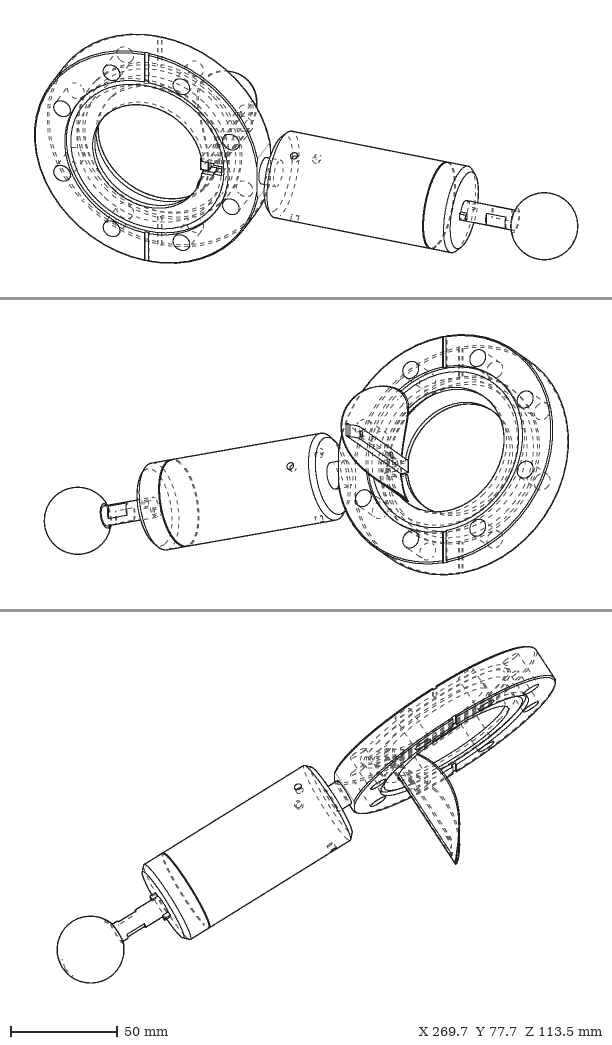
import cadquery as cq
import math


flange_radius = 56.77
flange_thickness = 17.8
flange_edge_chamfer = 0.7
flange_flat_x = 55.7
half_thickness = flange_thickness / 2

recess_radius = 41.2
recess_depth = 1.2
knife_radius = 38.6
knife_height = 0.9

lip_bore_radius = 27.6
lip_end_y = -5.0
cavity_radius = 36.5
cavity_end_y = 4.8
rear_bore_radius = 30.8

bolt_count = 8
bolt_circle_radius = 46.05
bolt_hole_diameter = 8.4
leak_groove_width = 2.0
leak_groove_depth = 1.0

notch_wide_width = 6.4
notch_wide_end_x = 33.3
notch_narrow_width = 4.8
notch_narrow_end_x = 37.4

shutter_disc_radius = 31.3
shutter_center_y = 25.6
shutter_outer_radius = 30.2
shutter_wall = 0.4
shutter_inner_radius = shutter_outer_radius - shutter_wall
outline_points = 24

strap_width = 6.0
strap_face_x = 25.8
strap_start_y = -5.0
strap_step_y = 46.3
strap_ramp_end_y = 50.2
strap_end_y = 52.4
strap_tip_thickness = 1.2
strap_ramp_sag = 0.5
strap_hole_diameter = 2.8
strap_hole_depth = 1.0
strap_hole_ys = (12.6, 44.3)
spindle_diameter = 6.0

neck_diameter = 12.7
body_radius = 20.76
body_start_x = 63.0
body_joint_x = 143.8
body_end_x = 156.8
body_chamfer = 2.4
joint_groove_width = 0.4
joint_groove_depth = 0.3

set_screw_count = 3
set_screw_x = 75.0
set_screw_diameter = 3.4
set_screw_depth = 3.0

rod_diameter = 9.6
tab_length = 3.2
tab_span = 12.9
tab_width = 3.2
wrench_flat_start_x = 169.4
wrench_flat_end_x = 179.2
wrench_flat_thickness = 7.3

overall_length = 269.69
ball_radius = 15.8
ball_center_x = overall_length - flange_radius - ball_radius
ball_flat_offset = 14.7
ball_flat_x = ball_center_x - ball_flat_offset


def block(x_range, y_range, z_range):
    """Axis-aligned box given by its limits."""
    sizes = [high - low for low, high in (x_range, y_range, z_range)]
    lows = (x_range[0], y_range[0], z_range[0])
    return cq.Workplane("XY").box(*sizes, centered=False).translate(lows)


def rod_along_x(radius, start_x, end_x):
    return cq.Workplane("YZ").workplane(offset=start_x).circle(radius).extrude(end_x - start_x)


def rod_along_y(radius, start_y, end_y):
    return cq.Workplane("XZ").workplane(offset=-end_y).circle(radius).extrude(end_y - start_y)


def sealing_recess():
    """Round cut in the front face; its floor falls away from the knife edge to the wall."""
    knife_y = -half_thickness + recess_depth
    profile = [
        (0, -half_thickness),
        (recess_radius, -half_thickness),
        (recess_radius, knife_y + knife_height),
        (knife_radius, knife_y),
        (0, knife_y),
    ]
    return cq.Workplane("XY").polyline(profile).close().revolve(360, (0, 0, 0), (0, 1, 0))


def leak_groove():
    """Vertical groove in the front face, from the recess out to the rim on both sides."""
    half_width = leak_groove_width / 2
    return block(
        (-half_width, half_width),
        (-half_thickness, -half_thickness + leak_groove_depth),
        (-flange_radius, flange_radius),
    ).cut(rod_along_y(recess_radius, -half_thickness, half_thickness))


def lip_notch():
    notch = None
    for width, end_x in (
        (notch_wide_width, notch_wide_end_x),
        (notch_narrow_width, notch_narrow_end_x),
    ):
        step = block((0, end_x), (-half_thickness, lip_end_y), (-width / 2, width / 2))
        notch = step if notch is None else notch.union(step)
    return notch


def make_flange():
    flange = rod_along_y(flange_radius, -half_thickness, half_thickness)
    flange = flange.faces("<Y or >Y").chamfer(flange_edge_chamfer)
    flange = flange.cut(
        block(
            (flange_flat_x, flange_radius),
            (-half_thickness, half_thickness),
            (-flange_radius, flange_radius),
        )
    )
    for face_cut in (sealing_recess(), leak_groove()):
        flange = flange.cut(face_cut).cut(face_cut.mirror("XZ"))
    flange = flange.cut(rod_along_y(lip_bore_radius, -half_thickness, lip_end_y))
    flange = flange.cut(rod_along_y(cavity_radius, lip_end_y, cavity_end_y))
    flange = flange.cut(rod_along_y(rear_bore_radius, cavity_end_y, half_thickness))
    for index in range(bolt_count):
        angle = (index + 0.5) * 2 * math.pi / bolt_count
        hole = rod_along_y(bolt_hole_diameter / 2, -half_thickness, half_thickness)
        offset = (bolt_circle_radius * math.cos(angle), 0, bolt_circle_radius * math.sin(angle))
        flange = flange.cut(hole.translate(offset))
    return flange.cut(lip_notch())


def shutter_outline_point(index):
    """Point (y, z) on the rim of the bent disc."""
    angle = 2 * math.pi * index / outline_points
    arc_length = shutter_disc_radius * math.sin(angle)
    y = shutter_center_y + shutter_disc_radius * math.cos(angle)
    z = shutter_outer_radius * math.sin(arc_length / shutter_outer_radius)
    return y, z


def shutter_envelope():
    """Prism along +X whose outline is the rim of the bent disc."""
    rim = [shutter_outline_point(index) for index in range(outline_points)]
    return cq.Workplane("YZ").spline(rim, periodic=True).wire().extrude(shutter_outer_radius)


def make_shutter():
    start_y = shutter_center_y - shutter_disc_radius
    end_y = shutter_center_y + shutter_disc_radius
    shell = rod_along_y(shutter_outer_radius, start_y, end_y)
    shell = shell.cut(rod_along_y(shutter_inner_radius, start_y, end_y))
    return shell.intersect(shutter_envelope())


def make_strap():
    mount_x = shutter_outer_radius - shutter_wall / 2
    tip_face_x = mount_x - strap_tip_thickness
    side = (
        cq.Workplane("XY")
        .workplane(offset=-strap_width / 2)
        .moveTo(mount_x, strap_start_y)
        .lineTo(strap_face_x, strap_start_y)
        .lineTo(strap_face_x, strap_step_y)
        .sagittaArc((tip_face_x, strap_ramp_end_y), strap_ramp_sag)
        .lineTo(tip_face_x, strap_end_y)
        .lineTo(mount_x, strap_end_y)
        .close()
    )
    strap = side.extrude(strap_width)
    for hole_y in strap_hole_ys:
        hole = rod_along_x(strap_hole_diameter / 2, strap_face_x, strap_face_x + strap_hole_depth)
        strap = strap.cut(hole.translate((0, hole_y, 0)))
    return strap


def make_body():
    body = rod_along_x(body_radius, body_start_x, body_end_x)
    body = body.faces("<X or >X").chamfer(body_chamfer)
    groove_end_x = body_joint_x + joint_groove_width
    groove = rod_along_x(body_radius, body_joint_x, groove_end_x)
    groove = groove.cut(rod_along_x(body_radius - joint_groove_depth, body_joint_x, groove_end_x))
    body = body.cut(groove)
    for index in range(set_screw_count):
        hole = rod_along_y(set_screw_diameter / 2, body_radius - set_screw_depth, body_radius)
        hole = hole.translate((set_screw_x, 0, 0))
        body = body.cut(hole.rotate((0, 0, 0), (1, 0, 0), index * 360 / set_screw_count))
    return body


def make_rod():
    rod = rod_along_x(rod_diameter / 2, body_end_x, ball_center_x)
    for side in (-1, 1):
        flat_ys = sorted((side * wrench_flat_thickness / 2, side * rod_diameter))
        rod = rod.cut(
            block(
                (wrench_flat_start_x, wrench_flat_end_x),
                flat_ys,
                (-rod_diameter, rod_diameter),
            )
        )
    tabs = block(
        (body_end_x, body_end_x + tab_length),
        (-tab_span / 2, tab_span / 2),
        (-tab_width / 2, tab_width / 2),
    )
    return rod.union(tabs)


def make_ball():
    ball = cq.Workplane("XY").sphere(ball_radius).translate((ball_center_x, 0, 0))
    return ball.cut(rod_along_x(ball_radius, ball_center_x - ball_radius, ball_flat_x))


neck = rod_along_x(neck_diameter / 2, flange_flat_x, body_start_x)
spindle = rod_along_x(spindle_diameter / 2, strap_face_x + strap_hole_depth, flange_flat_x)

result = make_flange()
for piece in (make_shutter(), make_strap(), spindle, neck, make_body(), make_rod(), make_ball()):
    result = result.union(piece)